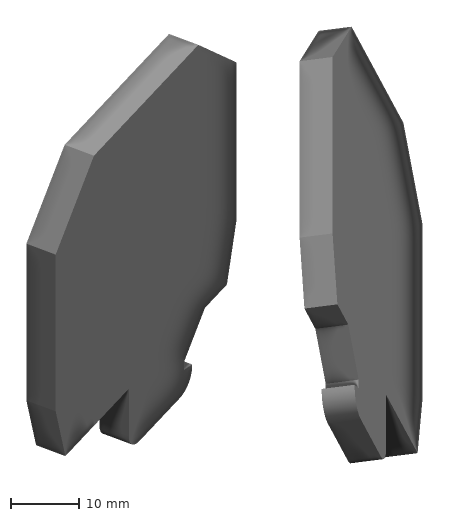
import cadquery as cq
import math

thickness = 5.0
width = 52.0
height = 63.0
half_width = width / 2

top_chamfer = 11.0
body_bottom = 12.0
taper_top = 22.4
taper_angle = 15.0
taper_inset = (taper_top - body_bottom) * math.tan(math.radians(taper_angle))
bottom_half_width = half_width - taper_inset

foot_back = -5.0
hook_tip = 13.2
notch_wall = 10.9
notch_top = 6.0
notch_bottom = 4.5
hook_tip_top = 3.9
ramp_start = notch_wall + (body_bottom - notch_top)
back_radius = 3.0
hook_radius = 3.5


def arc_midpoint(center_y, center_z, radius, side):
    """Middle of a quarter arc in the lower corner on the given Y side (+1 or -1)."""
    offset = radius * math.sqrt(0.5)
    return (center_y + side * offset, center_z - offset)


def make_plate():
    """Extrude the closed Y-Z outline symmetrically about X = 0."""
    back_arc_middle = arc_midpoint(foot_back + back_radius, back_radius, back_radius, -1)
    hook_arc_middle = arc_midpoint(hook_tip - hook_radius, hook_radius, hook_radius, 1)
    outline = (
        cq.Workplane("YZ")
        .moveTo(foot_back, body_bottom)
        .lineTo(-bottom_half_width, body_bottom)
        .lineTo(-half_width, taper_top)
        .lineTo(-half_width, height - top_chamfer)
        .lineTo(-half_width + top_chamfer, height)
        .lineTo(half_width - top_chamfer, height)
        .lineTo(half_width, height - top_chamfer)
        .lineTo(half_width, taper_top)
        .lineTo(bottom_half_width, body_bottom)
        .lineTo(ramp_start, body_bottom)
        .lineTo(notch_wall, notch_top)
        .lineTo(notch_wall, notch_bottom)
        .lineTo(hook_tip, hook_tip_top)
        .lineTo(hook_tip, hook_radius)
        .threePointArc(hook_arc_middle, (hook_tip - hook_radius, 0))
        .lineTo(foot_back + back_radius, 0)
        .threePointArc(back_arc_middle, (foot_back, back_radius))
        .close()
    )
    return outline.extrude(thickness / 2, both=True)


result = make_plate()